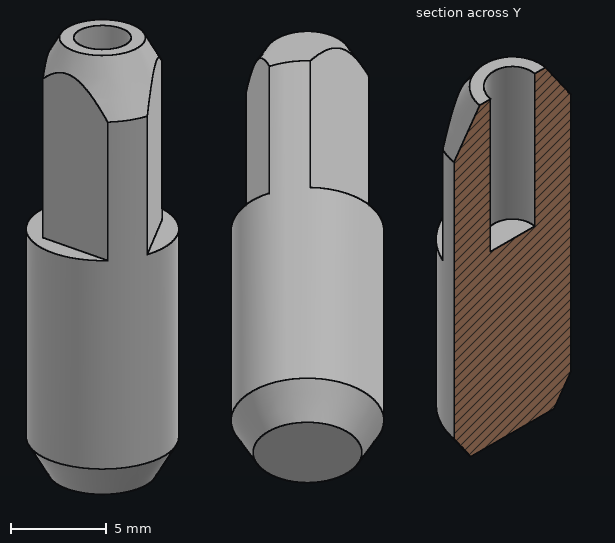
import cadquery as cq
import math

length = 25.0
body_radius = 8.0 / 2
cone_slope = math.tan(math.radians(30))

bottom_cone_height = 2.0
bottom_radius = body_radius - bottom_cone_height * cone_slope
top_radius = 4.5 / 2
top_cone_height = (body_radius - top_radius) / cone_slope

shoulder_height = 14.0
flats_length = length - shoulder_height
across_flats = 5.75
ridge_y = across_flats / 2 / math.cos(math.radians(30))
corner_x = ridge_y / math.tan(math.radians(30))

bore_diameter = 3.0
bore_depth = flats_length


def make_body():
    """Round pin with a cone at each end."""
    profile = [
        (0, 0),
        (bottom_radius, 0),
        (body_radius, bottom_cone_height),
        (body_radius, length - top_cone_height),
        (top_radius, length),
        (0, length),
    ]
    return cq.Workplane("XZ").polyline(profile).close().revolve(360, (0, 0), (0, 1))


def make_flats_cutter():
    """Material outside the rhombus formed by the four flats."""
    rhombus = [(corner_x, 0), (0, ridge_y), (-corner_x, 0), (0, -ridge_y)]
    base = cq.Workplane("XY").workplane(offset=shoulder_height)
    surround = base.circle(2 * body_radius).extrude(flats_length)
    return surround.cut(base.polyline(rhombus).close().extrude(flats_length))


def make_bore():
    """Flat-bottomed hole on the axis."""
    bore_floor = cq.Workplane("XY").workplane(offset=length - bore_depth)
    return bore_floor.circle(bore_diameter / 2).extrude(bore_depth)


result = make_body().cut(make_flats_cutter()).cut(make_bore())